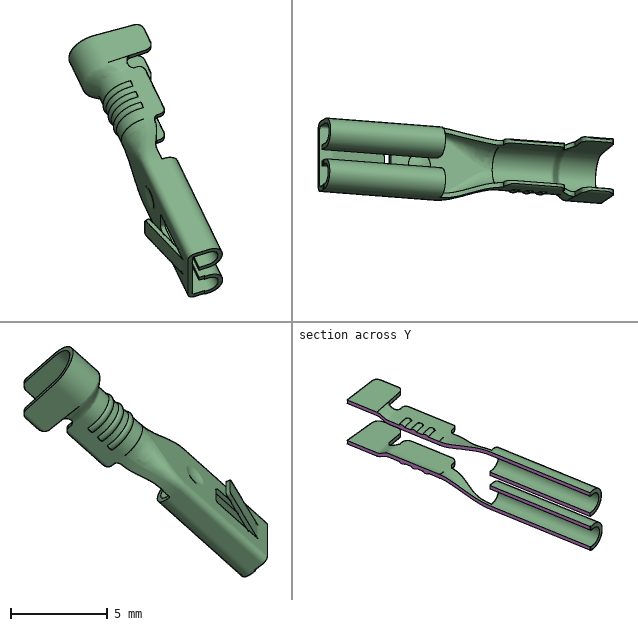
import cadquery as cq
import math

LENGTH = 15.49
SHEET = 0.25

INSULATION_END = 1.98
WIRE_START = 2.66
WIRE_END = 5.93
BOX_START = 9.11
BOX_END = 15.45

INSULATION = dict(half=1.43, radius=1.43, floor=-0.6, lean=0.02)
WIRE = dict(half=1.24, radius=1.24, floor=0.0, lean=0.0)
BOX = dict(half=1.86, radius=0.37, floor=0.0, lean=0.0)
LOFT_STEPS = 6
SEED_FLAT = 0.02

INSULATION_TOP = 3.36
WIRE_TOP = 2.52
INSULATION_CORNER = 0.46
WIRE_CORNER = 0.37
INSULATION_SLANT = 0.26
COIN_HEIGHT = 0.22
COIN_DEPTH = 0.1

NOTCH_TOP = 1.98
NOTCH_BOTTOM = 1.75
SHOULDER_LENGTH = 0.35
SLOPE_END = 8.63
SLOPE_LEVEL = 1.04
SHOULDER_ENTRY = (0.3, -1)
SHOULDER_EXIT = (1, -0.1)
SLOPE_EXIT = (1, 0)

BEAD_COUNT = 3
BEAD_FIRST = 3.56
BEAD_PITCH = 0.75
BEAD_WIDTH = 0.37
BEAD_HEIGHT = 0.08
BEAD_TOP = 1.5

ROLL_RADIUS = 0.77
ROLL_CENTER = 1.15
SPRING_TIP = 0.62
SPRING_CORNER = 0.2
LIP_BOTTOM = 0.91

WINDOW_START = 11.52
WINDOW_END = 14.72
WINDOW_HALF = 0.64
WINDOW_CORNER = 0.2
TONGUE_DROP = 0.93

DIMPLE_X = 9.95
DIMPLE_RADIUS = 0.62
DIMPLE_DEPTH = 0.15
DIMPLE_RISE = 0.12
DIMPLE_RIM = 0.12

MARGIN = 0.15


def rounded_floor(outline, half, radius, floor, side):
    """Continue an outline around the floor, from the given side of the channel to the other."""
    spring = floor + radius
    flat = half - radius
    if flat == 0:
        return outline.threePointArc((floor, 0), (spring, -side * half))
    reach = radius * math.sqrt(0.5)
    return (
        outline.threePointArc((spring - reach, side * (flat + reach)), (floor, side * flat))
        .lineTo(floor, -side * flat)
        .threePointArc((spring - reach, -side * (flat + reach)), (spring, -side * half))
    )


def channel_section(x, top, half, radius, floor, lean, coined=False):
    """Closed sheet outline of a U channel, standing across X."""
    spring = floor + radius
    tip_half = half + lean * (top - spring)
    inner_half = half - SHEET
    inner_tip = tip_half - SHEET
    outline = cq.Workplane("YZ", origin=(x, 0, 0)).moveTo(top, inner_tip)
    if coined:
        coin_radius = (COIN_HEIGHT**2 + COIN_DEPTH**2) / (2 * COIN_DEPTH)
        half_rise = COIN_HEIGHT / 2
        sag = coin_radius - math.sqrt(coin_radius**2 - half_rise**2)
        coin_base = top - COIN_HEIGHT
        coin_middle = coin_base + half_rise
        outline = outline.lineTo(top, tip_half - COIN_DEPTH)
        outline = outline.threePointArc((coin_middle, tip_half - sag), (coin_base, tip_half))
    else:
        outline = outline.lineTo(top, tip_half)
    outline = rounded_floor(outline.lineTo(spring, half), half, radius, floor, 1)
    if coined:
        outline = outline.lineTo(coin_base, -tip_half)
        outline = outline.threePointArc((coin_middle, sag - tip_half), (top, COIN_DEPTH - tip_half))
    else:
        outline = outline.lineTo(top, -tip_half)
    outline = outline.lineTo(top, -inner_tip).lineTo(spring, -inner_half)
    return rounded_floor(outline, inner_half, radius - SHEET, floor + SHEET, -1).close()


def side_plate(outline):
    """Extrude a side outline drawn in XY across the whole width."""
    return outline.extrude(BOX["half"] + MARGIN, both=True)


def barrel(start, end, top, section, slant, corner_radius):
    """Crimp barrel with coined wing tips and rounded wing corners."""
    floor = section["floor"]
    channel = channel_section(start, top, coined=True, **section).extrude(end - start)
    side = cq.Workplane("XY").polyline(
        [(start, floor), (end, floor), (end, top), (start + slant, top)]
    ).close()
    plate = side_plate(side).edges("|Z and >Y").fillet(corner_radius)
    return channel.intersect(plate)


def blended_channel(start, end, top, first, last):
    """Channel whose section eases smoothly from the first section to the last."""
    wires = []
    for step in range(LOFT_STEPS + 1):
        t = step / LOFT_STEPS
        ease = t * t * (3 - 2 * t)
        section = {name: first[name] + ease * (last[name] - first[name]) for name in first}
        wires.append(channel_section(start + t * (end - start), top, **section).val())
    return cq.Workplane(cq.Solid.makeLoft(wires))


def neck():
    channel = blended_channel(INSULATION_END, WIRE_START, NOTCH_TOP, INSULATION, WIRE)
    middle = (INSULATION_END + WIRE_START) / 2
    scoop = (
        cq.Workplane("XY")
        .moveTo(INSULATION_END, NOTCH_TOP)
        .threePointArc((middle, NOTCH_BOTTOM), (WIRE_START, NOTCH_TOP))
        .lineTo(WIRE_START, NOTCH_TOP + MARGIN)
        .lineTo(INSULATION_END, NOTCH_TOP + MARGIN)
        .close()
    )
    return channel.cut(side_plate(scoop))


def transition():
    seed = dict(WIRE, radius=WIRE["half"] - SEED_FLAT)
    channel = blended_channel(WIRE_END, BOX_START, NOTCH_TOP, seed, BOX)
    shoulder_end = WIRE_END + SHOULDER_LENGTH
    above = (
        cq.Workplane("XY")
        .moveTo(WIRE_END, NOTCH_TOP)
        .spline(
            [(shoulder_end, NOTCH_BOTTOM)],
            tangents=[SHOULDER_ENTRY, SHOULDER_EXIT],
            includeCurrent=True,
        )
        .spline(
            [(SLOPE_END, SLOPE_LEVEL)],
            tangents=[SHOULDER_EXIT, SLOPE_EXIT],
            includeCurrent=True,
        )
        .lineTo(BOX_START, SLOPE_LEVEL)
        .lineTo(BOX_START, NOTCH_TOP + MARGIN)
        .lineTo(WIRE_END, NOTCH_TOP + MARGIN)
        .close()
    )
    return channel.cut(side_plate(above))


def bead(x):
    """Raised bead following the outside of the wire barrel."""
    half = WIRE["half"]
    path = (
        cq.Workplane("YZ", origin=(x, 0, 0))
        .moveTo(BEAD_TOP, half)
        .lineTo(half, half)
        .threePointArc((0, 0), (half, -half))
        .lineTo(BEAD_TOP, -half)
    )
    root = half - SHEET / 2
    profile = (
        cq.Workplane("XZ", origin=(0, BEAD_TOP, 0))
        .moveTo(x - BEAD_WIDTH / 2, root)
        .lineTo(x - BEAD_WIDTH / 2, half)
        .threePointArc((x, half + BEAD_HEIGHT), (x + BEAD_WIDTH / 2, half))
        .lineTo(x + BEAD_WIDTH / 2, root)
        .close()
    )
    return profile.sweep(path)


def box_half(start, end):
    """The +Z half of the box: floor, side wall and rolled-in spring."""
    half, radius = BOX["half"], BOX["radius"]
    flat = half - radius
    inner_half = half - SHEET
    roll_z = half - ROLL_RADIUS
    inner_roll = ROLL_RADIUS - SHEET
    spring_z = roll_z - ROLL_RADIUS
    inner_radius = radius - SHEET
    diagonal = math.sqrt(0.5)
    return (
        cq.Workplane("YZ", origin=(start, 0, 0))
        .lineTo(0, flat)
        .threePointArc((radius * (1 - diagonal), flat + radius * diagonal), (radius, half))
        .lineTo(ROLL_CENTER, half)
        .threePointArc((ROLL_CENTER + ROLL_RADIUS, roll_z), (ROLL_CENTER, spring_z))
        .lineTo(SPRING_TIP, spring_z)
        .lineTo(SPRING_TIP, spring_z + SHEET)
        .lineTo(ROLL_CENTER, spring_z + SHEET)
        .threePointArc((ROLL_CENTER + inner_roll, roll_z), (ROLL_CENTER, inner_half))
        .lineTo(radius, inner_half)
        .threePointArc(
            (radius - inner_radius * diagonal, flat + inner_radius * diagonal), (SHEET, flat)
        )
        .lineTo(SHEET, 0)
        .close()
        .extrude(end - start)
    )


def box():
    spring_corner = cq.selectors.NearestToPointSelector(
        (BOX_START, SPRING_TIP, BOX["half"] - 2 * ROLL_RADIUS + SHEET / 2)
    )
    upper = box_half(BOX_START, BOX_END).edges(spring_corner).fillet(SPRING_CORNER)
    lip = box_half(BOX_END, LENGTH)
    below_lip = cq.Workplane("XY").box(2 * LENGTH, 2 * LIP_BOTTOM, 4 * BOX["half"])
    lower_lip = lip.cut(below_lip).mirror("XY")
    return upper.union(upper.mirror("XY")).union(lower_lip)


def window():
    length = WINDOW_END - WINDOW_START
    return (
        cq.Workplane("XZ", origin=((WINDOW_START + WINDOW_END) / 2, 0, 0))
        .rect(length, 2 * WINDOW_HALF)
        .extrude(-SHEET)
        .edges("|Y and <X")
        .fillet(WINDOW_CORNER)
    )


def tongue():
    """Lance bent outward from the far end of the window."""
    length = WINDOW_END - WINDOW_START
    angle = math.atan2(TONGUE_DROP, length)
    tip_rise = SHEET * math.cos(angle)
    tip_run = SHEET * math.sin(angle)
    return (
        cq.Workplane("XY")
        .moveTo(WINDOW_END, 0)
        .lineTo(WINDOW_START + tip_run, tip_run * TONGUE_DROP / length - TONGUE_DROP)
        .lineTo(WINDOW_START, tip_rise - TONGUE_DROP)
        .lineTo(WINDOW_END, SHEET)
        .close()
        .extrude(WINDOW_HALF, both=True)
        .faces("<X")
        .edges("not(|Z)")
        .fillet(WINDOW_CORNER)
    )


def dimple_sphere(radius, center_y):
    return cq.Workplane("XY", origin=(DIMPLE_X, center_y, 0)).sphere(radius)


def add_dimple(body):
    """Press a shallow spherical stop into the floor, raised on the inside."""
    radius = (DIMPLE_RADIUS**2 + DIMPLE_DEPTH**2) / (2 * DIMPLE_DEPTH)
    center_y = DIMPLE_DEPTH - radius
    bump_radius = SHEET + DIMPLE_RISE - center_y
    floor_slab = cq.Workplane("XY").box(4 * LENGTH, 2 * BOX["half"], 4 * BOX["half"])
    above_floor = floor_slab.translate((0, BOX["half"] + SHEET / 2, 0))
    bump = dimple_sphere(bump_radius, center_y).intersect(above_floor)
    body = body.union(bump).cut(dimple_sphere(radius, center_y))
    rim = cq.selectors.NearestToPointSelector((DIMPLE_X, 0, 0))
    return body.edges(rim).fillet(DIMPLE_RIM)


result = barrel(0, INSULATION_END, INSULATION_TOP, INSULATION, INSULATION_SLANT, INSULATION_CORNER)
result = result.union(neck())
result = result.union(barrel(WIRE_START, WIRE_END, WIRE_TOP, WIRE, 0, WIRE_CORNER))
for index in range(BEAD_COUNT):
    result = result.union(bead(BEAD_FIRST + index * BEAD_PITCH))
result = result.union(transition())
result = result.union(add_dimple(box().cut(window())))
result = result.union(tongue())